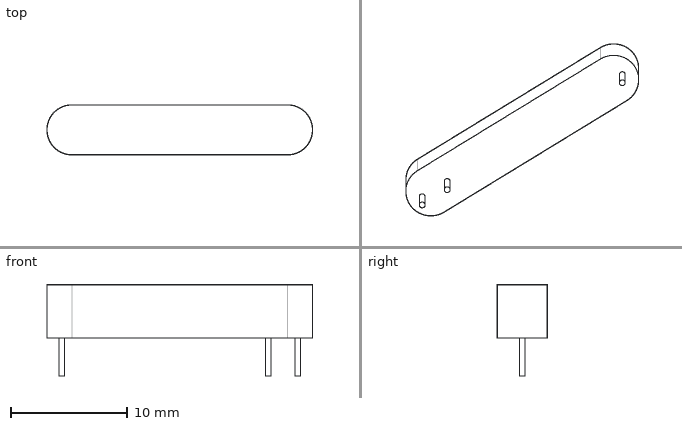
import cadquery as cq

body_length = 22.85
body_width = 4.32
total_height = 7.86
pin_length = 3.27
body_height = total_height - pin_length

pin_diameter = 0.5
pin_pitch = 2.54
pin_span = 8 * pin_pitch
first_pin_x = -pin_span / 2
pin_steps = (0, 7, 8)
pin_points = [(first_pin_x + step * pin_pitch, 0) for step in pin_steps]

body = cq.Workplane("XY").slot2D(body_length, body_width).extrude(body_height)

pins = cq.Workplane("XY").pushPoints(pin_points).circle(pin_diameter / 2).extrude(-pin_length)

result = body.union(pins)